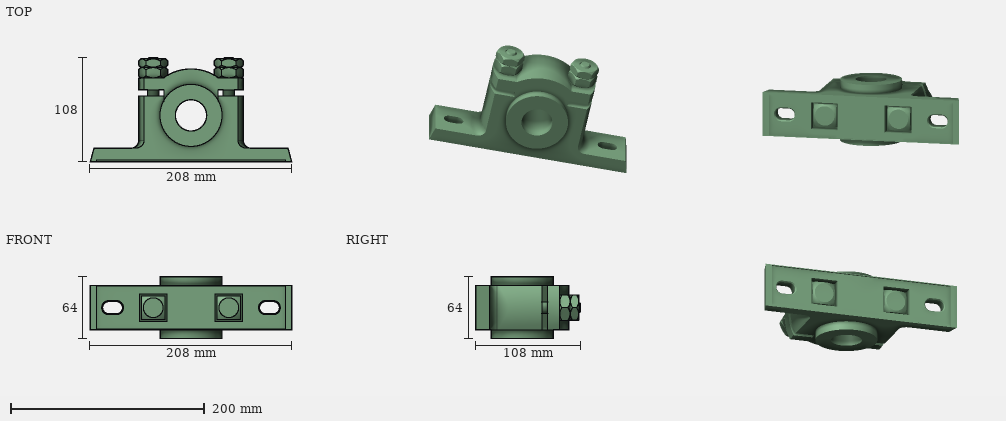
import cadquery as cq
import math


bore_diameter = 32.0
bushing_length = 64.0
flange_diameter = 64.0
bushing_body_diameter = 44.0
bore_height = 48.0

foot_length = 208.0
foot_top_length = 200.3
foot_thickness = 14.4
body_depth = 46.0
foot_recess_length = 194.7
foot_recess_width = 44.5
foot_recess_depth = 2.0
slot_offset = 81.0
slot_length = 20.4
slot_width = 12.5
slot_rim_width = 1.0
slot_rim_depth = 1.2

block_width = 108.2
block_face_width = 97.0
block_top = 68.2
root_fillet = 7.7
tongue_width = 56.0
ear_bottom = 74.3
ear_top = 86.5
cap_radius = 48.0

bolt_spacing = 78.0
shank_diameter = 12.0
tip_height = 2.7
tip_diameter = 8.7
bolt_top = 108.0
pocket_width = 28.3
pocket_depth = 12.5
head_width = 24.1
head_depth = 4.0
head_crown_diameter = 20.4
head_dome_radius = 27.0
nut_across_corners = 30.2
nut_height = 11.0
locknut_height = 9.0
nut_chamfer_angle = 45.0
nut_face_ratio = 0.98

half_depth = body_depth / 2
bolt_positions = (-bolt_spacing / 2, bolt_spacing / 2)


def cylinder_along_y(diameter, bottom, top, x=0.0):
    """Cylinder standing on the plane Y = bottom."""
    axis = cq.Vector(0, 1, 0)
    return cq.Workplane(cq.Solid.makeCylinder(diameter / 2, top - bottom, cq.Vector(x, bottom, 0), axis))


def box_along_y(length, width, bottom, top, x=0.0):
    """Box centred on Z = 0 between two heights."""
    return cq.Workplane().box(length, top - bottom, width).translate((x, (bottom + top) / 2, 0))


def cylinder_along_z(diameter, length):
    """Cylinder around the bore axis, centred on Z = 0."""
    return cq.Workplane().center(0, bore_height).cylinder(length, diameter / 2)


def bulged_block(bottom, top):
    """Block with flat Z faces and outward-curved X sides."""
    face = block_face_width / 2
    side = block_width / 2
    plane = cq.Plane(origin=(0, bottom, 0), xDir=(0, 0, 1), normal=(0, 1, 0))
    return (
        cq.Workplane(plane)
        .moveTo(-half_depth, -face)
        .threePointArc((0, -side), (half_depth, -face))
        .lineTo(half_depth, face)
        .threePointArc((0, side), (-half_depth, face))
        .close()
        .extrude(top - bottom)
    )


def slot_cutter(x):
    """Round-ended slot along X through the foot, with a flared rim at the recess floor."""
    plane = cq.Plane(origin=(x, foot_recess_depth, 0), xDir=(1, 0, 0), normal=(0, 1, 0))
    rim_taper = math.degrees(math.atan2(slot_rim_width, slot_rim_depth))
    rim_length = slot_length + 2 * slot_rim_width
    rim_opening = slot_width + 2 * slot_rim_width
    slot = cq.Workplane(plane).slot2D(slot_length, slot_width).extrude(foot_thickness)
    rim = cq.Workplane(plane).slot2D(rim_length, rim_opening).extrude(slot_rim_depth, taper=rim_taper)
    return slot.union(rim)


def make_foot():
    """Mounting foot with sloped ends."""
    half_bottom = foot_length / 2
    half_top = foot_top_length / 2
    return (
        cq.Workplane(origin=(0, 0, -half_depth))
        .polyline([
            (-half_bottom, 0),
            (half_bottom, 0),
            (half_top, foot_thickness),
            (-half_top, foot_thickness),
        ])
        .close()
        .extrude(body_depth)
    )


def root_edges(body):
    """Curved edges where the block sides rise from the foot."""
    tolerance = 0.2
    foot_plane = cq.selectors.BoxSelector(
        (-block_width, foot_thickness - tolerance, -body_depth),
        (block_width, foot_thickness + tolerance, body_depth),
    )
    return body.edges(foot_plane).edges("%CIRCLE")


def make_housing():
    """Foot and block in one piece, open at the top for the cap."""
    body = make_foot().union(bulged_block(0, block_top))
    body = root_edges(body).fillet(root_fillet)
    body = body.cut(box_along_y(tongue_width, body_depth, bore_height, block_top))
    body = body.cut(cylinder_along_z(bushing_body_diameter, body_depth))
    body = body.cut(box_along_y(foot_recess_length, foot_recess_width, 0, foot_recess_depth))
    for side in (-1, 1):
        body = body.cut(slot_cutter(side * slot_offset))
    for x in bolt_positions:
        body = body.cut(box_along_y(pocket_width, pocket_width, 0, pocket_depth, x))
        body = body.cut(cylinder_along_y(shank_diameter, 0, block_top, x))
    return body


def make_cap():
    """Clamping cap with two ears, a round crown and a tongue that fits between the housing cheeks."""
    crown_top = bore_height + cap_radius
    tongue = box_along_y(tongue_width, body_depth, bore_height, ear_top)
    crown = cylinder_along_z(2 * cap_radius, body_depth).intersect(
        box_along_y(block_width, body_depth, ear_bottom, crown_top)
    )
    cap = bulged_block(ear_bottom, ear_top).union(tongue).union(crown)
    cap = cap.cut(cylinder_along_z(bushing_body_diameter, body_depth))
    for x in bolt_positions:
        cap = cap.cut(cylinder_along_y(shank_diameter, ear_bottom, ear_top, x))
        cap = cap.cut(cylinder_along_y(nut_across_corners, ear_top, crown_top, x))
    return cap


def make_bushing():
    """Bushing with a flange on each side of the housing."""
    flange_thickness = (bushing_length - body_depth) / 2
    flange_centre = (half_depth + bushing_length / 2) / 2
    bushing = cylinder_along_z(bushing_body_diameter, body_depth)
    for side in (-1, 1):
        flange = cylinder_along_z(flange_diameter, flange_thickness)
        bushing = bushing.union(flange.translate((0, 0, side * flange_centre)))
    return bushing.cut(cylinder_along_z(bore_diameter, bushing_length))


def turned(points, x):
    """Solid of revolution around a bolt axis, from (radius, height) points."""
    return cq.Workplane().polyline(points).close().revolve(360, (0, 0), (0, 1)).translate((x, 0, 0))


def make_bolt(x):
    """Bolt with its square head seated on the pocket floor and a chamfered tip."""
    shank_radius = shank_diameter / 2
    shank = turned([
        (0, pocket_depth),
        (shank_radius, pocket_depth),
        (shank_radius, bolt_top - tip_height),
        (tip_diameter / 2, bolt_top),
        (0, bolt_top),
    ], x)
    dome_centre = head_depth + math.sqrt(head_dome_radius**2 - (head_crown_diameter / 2) ** 2)
    dome = cq.Workplane().sphere(head_dome_radius).translate((x, dome_centre, 0))
    head = box_along_y(head_width, head_width, head_depth, pocket_depth, x).intersect(dome)
    return shank.union(head)


def make_nut(x, bottom, height):
    """Hexagon nut with corners on X and both ends chamfered."""
    corner = nut_across_corners / 2
    face_radius = nut_face_ratio * corner * math.cos(math.pi / 6)
    chamfer = (corner - face_radius) * math.tan(math.radians(nut_chamfer_angle))
    top = bottom + height
    plane = cq.Plane(origin=(x, bottom, 0), xDir=(1, 0, 0), normal=(0, 1, 0))
    hexagon = cq.Workplane(plane).polygon(6, nut_across_corners).extrude(height)
    envelope = turned([
        (0, bottom),
        (face_radius, bottom),
        (corner, bottom + chamfer),
        (corner, top - chamfer),
        (face_radius, top),
        (0, top),
    ], x)
    return hexagon.intersect(envelope).cut(cylinder_along_y(shank_diameter, bottom, top, x))


housing = make_housing()
cap = make_cap()
bushing = make_bushing()
bolts = [make_bolt(x) for x in bolt_positions]
nuts = [make_nut(x, ear_top, nut_height) for x in bolt_positions]
locknuts = [make_nut(x, ear_top + nut_height, locknut_height) for x in bolt_positions]

bodies = [housing, cap, bushing, *bolts, *nuts, *locknuts]
result = cq.Compound.makeCompound([body.val() for body in bodies])